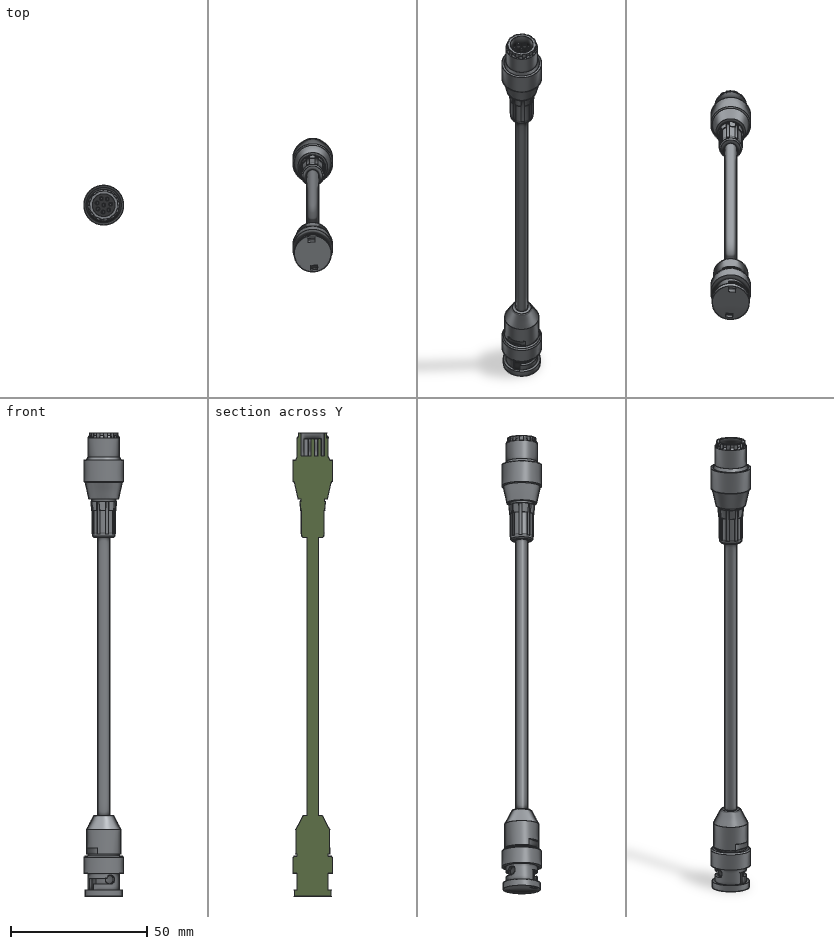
import cadquery as cq
import math

total_length = 170.2

flange_radius = 6.8
flange_top = 2.4
shell_radius = 5.8
ring_radius = 7.3
ring_bottom = 8.5
ring_top = 14.8
ring_chamfer = 0.5
undercut_radius = 5.8
body_bottom = 15.5
body_radius = 6.3
body_top = 24.5
body_tip_radius = 3.7
body_tip_chamfer = 0.3
body_tip = 29.8

flat_count = 2
flat_distance = 5.3
flat_height = 2.4
flat_direction = 215.5

track_count = 2
track_floor_radius = 4.5
slot_floor_radius = 4.8
track_clearance = 0.2
track_outer_radius = shell_radius + track_clearance
track_bottom = 4.6
entry_angle = 217.0
entry_width = 2.5
slot_width = 2.0
latch_angle = 297.0
latch_diameter = 3.2

cable_diameter = 4.5

sleeve_radius = 4.3
sleeve_bottom = 131.7
sleeve_shoulder = 133.5
sleeve_end_radius = 4.0
sleeve_end = 132.2
sleeve_tip_radius = 3.5
collar_base_radius = 4.5
collar_radius = 4.8
collar_bottom = 141.6
collar_top = 145.0
neck_radius = 4.5

groove_count = 8
groove_width = 1.2
groove_floor_radius = 3.9
groove_bottom = 133.0
groove_first_angle = 17.0

taper_bottom = 145.8
taper_bottom_radius = 5.5
taper_top = 152.0
taper_top_radius = 6.8
grip_bottom = 152.3
grip_radius = ring_radius
grip_top = 160.1
shoulder_radius = 6.5
shoulder_top = 161.3
barrel_radius = 5.8
rim_radius = 5.3
rim_height = 1.0
rim_base = 168.3

notch_count = 12
notch_pitch = 360 / notch_count
notch_first_angle = notch_pitch / 4
notch_width = math.pi * rim_radius / notch_count
notch_floor_radius = 5.1

socket_diameter = 8.3
socket_depth = 8.5
pin_diameter = 1.4
pin_tip_diameter = 0.78
pin_count = 7
pin_circle_radius = 2.5
pin_first_angle = -95.0
pin_recess = 2.0


def make_turned_body():
    """Revolve the complete outer outline, from the lower end to the upper rim."""
    cable_radius = cable_diameter / 2
    outline = [
        (0, 0),
        (flange_radius, 0),
        (flange_radius, flange_top),
        (shell_radius, flange_top),
        (shell_radius, ring_bottom),
        (ring_radius, ring_bottom),
        (ring_radius, ring_top - ring_chamfer),
        (ring_radius - ring_chamfer, ring_top),
        (undercut_radius, ring_top),
        (undercut_radius, body_bottom),
        (body_radius, body_bottom),
        (body_radius, body_top),
        (body_tip_radius, body_tip - body_tip_chamfer),
        (body_tip_radius - body_tip_chamfer, body_tip),
        (cable_radius, body_tip),
        (cable_radius, sleeve_bottom),
        (sleeve_tip_radius, sleeve_bottom),
        (sleeve_end_radius, sleeve_end),
        (sleeve_radius, sleeve_shoulder),
        (sleeve_radius, collar_bottom),
        (collar_base_radius, collar_bottom),
        (collar_radius, collar_top),
        (neck_radius, collar_top),
        (neck_radius, taper_bottom),
        (taper_bottom_radius, taper_bottom),
        (taper_top_radius, taper_top),
        (grip_radius, grip_bottom),
        (grip_radius, grip_top),
        (shoulder_radius, grip_top),
        (barrel_radius, shoulder_top),
        (barrel_radius, rim_base),
        (rim_radius, total_length - rim_height),
        (rim_radius, total_length),
        (0, total_length),
    ]
    return cq.Workplane("XZ").polyline(outline).close().revolve(360, (0, 0, 0), (0, 1, 0))


def radial_plane(angle, height):
    """Workplane on the Z axis facing outward, with its own Y direction along +Z."""
    direction = math.radians(angle)
    outward = (math.cos(direction), math.sin(direction), 0)
    sideways = (-math.sin(direction), math.cos(direction), 0)
    return cq.Workplane(cq.Plane(origin=(0, 0, height), xDir=sideways, normal=outward))


def make_wrench_flat(angle):
    """Block that leaves a flat on one side of the bayonet body."""
    return (
        radial_plane(angle, body_bottom + flat_height / 2)
        .workplane(offset=flat_distance)
        .rect(2 * body_radius, flat_height)
        .extrude(body_radius)
    )


def make_bayonet_track(turn):
    """Cutter for one track, sunk from outside the shell down to the track floor."""
    reach = track_outer_radius - track_floor_radius
    slot_top = track_bottom + slot_width
    entry = (
        radial_plane(entry_angle, slot_top / 2)
        .workplane(offset=track_floor_radius)
        .rect(entry_width, slot_top)
        .extrude(reach)
    )
    slot = (
        cq.Workplane("XZ")
        .moveTo(slot_floor_radius, track_bottom)
        .lineTo(track_outer_radius, track_bottom)
        .lineTo(track_outer_radius, slot_top)
        .lineTo(slot_floor_radius, slot_top)
        .close()
        .revolve(latch_angle - entry_angle, (0, 0, 0), (0, 1, 0))
        .rotate((0, 0, 0), (0, 0, 1), entry_angle)
    )
    latch = (
        radial_plane(latch_angle, track_bottom + latch_diameter / 2)
        .workplane(offset=track_floor_radius)
        .circle(latch_diameter / 2)
        .extrude(reach)
    )
    return entry.union(slot).union(latch).rotate((0, 0, 0), (0, 0, 1), turn)


def make_relief_groove(angle):
    """Flat-bottomed groove running up the strain relief and through its collar."""
    height = collar_top - groove_bottom
    return (
        radial_plane(angle, groove_bottom + height / 2)
        .workplane(offset=groove_floor_radius)
        .rect(groove_width, height)
        .extrude(collar_radius)
    )


def make_rim_notch(angle):
    """Shallow flat-bottomed notch across the rim and its conical base."""
    height = total_length - rim_base
    return (
        radial_plane(angle, rim_base + height / 2)
        .workplane(offset=notch_floor_radius)
        .rect(notch_width, height)
        .extrude(barrel_radius - notch_floor_radius)
    )


def make_pins():
    """One pin on the axis and a circle of pins around it, each with a conical tip."""
    tip_chamfer = (pin_diameter - pin_tip_diameter) / 2
    pin = (
        cq.Workplane("XY", origin=(0, 0, total_length - socket_depth))
        .circle(pin_diameter / 2)
        .extrude(socket_depth - pin_recess)
        .faces(">Z")
        .chamfer(tip_chamfer)
    )
    pins = pin
    for index in range(pin_count):
        angle = pin_first_angle + index * 360 / pin_count
        outer_pin = pin.translate((pin_circle_radius, 0, 0)).rotate((0, 0, 0), (0, 0, 1), angle)
        pins = pins.union(outer_pin)
    return pins


result = make_turned_body()
for index in range(flat_count):
    result = result.cut(make_wrench_flat(flat_direction + index * 360 / flat_count))
for index in range(track_count):
    result = result.cut(make_bayonet_track(index * 360 / track_count))
for index in range(groove_count):
    result = result.cut(make_relief_groove(groove_first_angle + index * 360 / groove_count))
for index in range(notch_count):
    result = result.cut(make_rim_notch(notch_first_angle + index * notch_pitch))
result = result.faces(">Z").workplane(origin=(0, 0, total_length)).hole(socket_diameter, socket_depth)
result = result.union(make_pins())